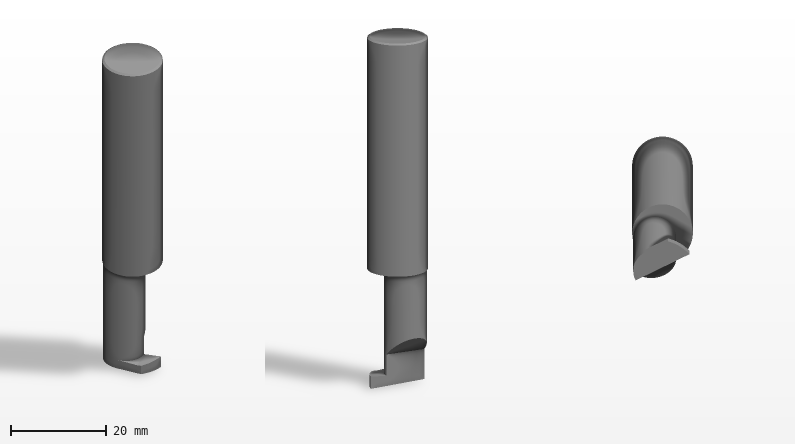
import cadquery as cq
import math

length = 76.2
shank_diameter = 12.7
shank_radius = shank_diameter / 2
shank_length = 50.75
shoulder_z = length - shank_length
chamfer_radial = 0.45
chamfer_axial = 0.3

neck_radius = 4.5
neck_x = neck_radius - shank_radius
relief_start_z = 7.0
relief_end_z = 11.05

heel_x = 3.65
flank_bulge = 0.4
head_top_z = 2.7
valley_x = 2.75
valley_z = 2.4
end_relief_x = 2.0
end_relief_y = 3.0
margin = 1.5


def make_shank():
    shank = cq.Workplane("XY").workplane(offset=shoulder_z).circle(shank_radius).extrude(shank_length)
    return shank.faces(">Z").chamfer(chamfer_axial, chamfer_radial)


def make_neck():
    return cq.Workplane("XY").center(neck_x, 0).circle(neck_radius).extrude(shoulder_z)


def make_head():
    chord_x = shank_radius - heel_x
    chord_y = neck_radius
    chord = math.hypot(chord_x, chord_y)
    flank_mid = (
        (heel_x + shank_radius) / 2 + flank_bulge * chord_y / chord,
        -neck_radius / 2 - flank_bulge * chord_x / chord,
    )
    plan = (
        cq.Workplane("XY")
        .moveTo(neck_x, 0)
        .lineTo(neck_x, -neck_radius)
        .lineTo(heel_x, -neck_radius)
        .threePointArc(flank_mid, (shank_radius, 0))
        .close()
        .extrude(head_top_z)
    )
    profile = (
        cq.Workplane("XZ")
        .polyline([
            (neck_x, 0),
            (shank_radius, 0),
            (shank_radius, head_top_z),
            (valley_x, valley_z),
            (neck_x, head_top_z),
        ])
        .close()
        .extrude(neck_radius)
    )
    return plan.intersect(profile)


def make_rake_cut():
    outer_y = neck_radius + margin
    runout_slope = (relief_end_z - relief_start_z) / neck_radius
    return (
        cq.Workplane("YZ")
        .polyline([
            (0, -margin),
            (outer_y, -margin),
            (outer_y, relief_start_z + runout_slope * outer_y),
            (0, relief_start_z),
        ])
        .close()
        .extrude(shank_radius + margin, both=True)
    )


def make_end_cut():
    tilt_x = math.tan(math.radians(end_relief_x))
    tilt_y = math.tan(math.radians(end_relief_y))
    end_plane = cq.Plane(
        origin=(shank_radius, 0, 0),
        xDir=(1, 0, -tilt_x),
        normal=(tilt_x, tilt_y, 1),
    )
    return cq.Workplane(end_plane).rect(3 * shank_diameter, 3 * shank_diameter).extrude(-margin)


lower_end = make_neck().union(make_head()).cut(make_rake_cut()).cut(make_end_cut())
result = make_shank().union(lower_end)